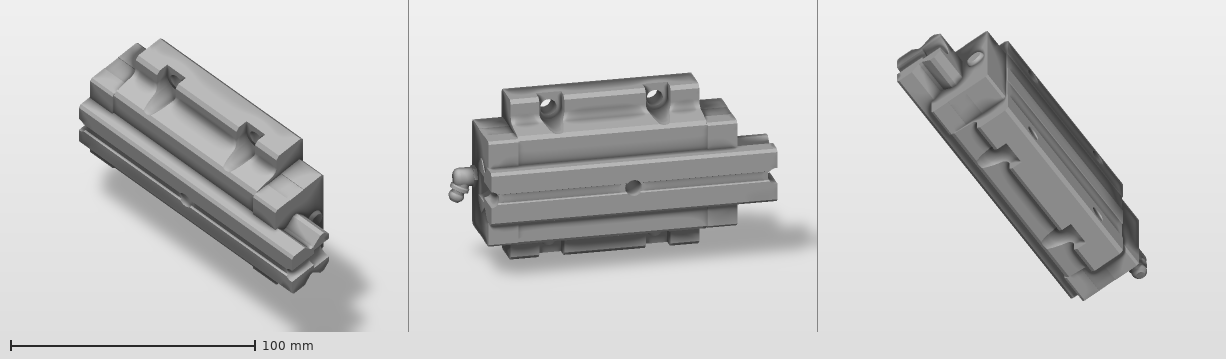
import cadquery as cq
import math


RAIL_LENGTH = 120.5
RAIL_WIDTH = 23.0
RAIL_HALF_WIDTH = RAIL_WIDTH / 2
RAIL_HEIGHT = 22.1
RAIL_BASE_CHAMFER = 1.2
RAIL_HEAD_CHAMFER = 3.2
WAIST_HALF_WIDTH = 7.8
WAIST_Y = 11.8
WAIST_FLAT = 1.6
BASE_SLOPE_RUN = 3.4
HEAD_SLOPE_RUN = 4.2
RELIEF_OUTER_HALF = 2.2
RELIEF_INNER_HALF = 1.8
RELIEF_DEPTH = 0.9
RAIL_BOLT_COUNT = 3
RAIL_BOLT_PITCH = 60.0
RAIL_BOLT_DIA = 7.0
RAIL_CBORE_DIA = 11.2
RAIL_CBORE_DEPTH = 9.0

MOUNT_Y = 36.0
BLOCK_LENGTH = 79.5
FLANGE_WIDTH = 70.0
FLANGE_HALF_WIDTH = FLANGE_WIDTH / 2
FLANGE_THICKNESS = 15.9
FLANGE_CHAMFER = 1.6
BLOCK_FRONT_Y = 7.1
BLOCK_CHAMFER = 1.6
BLOCK_FRONT_HALF_WIDTH = 22.1
FLANK_ROOT_HALF_WIDTH = 25.6
FLANK_FILLET = 3.2
MOUNT_RELIEF_DEPTH = 0.4
MOUNT_RELIEF_OUTER = 20.6
MOUNT_RELIEF_INNER = 6.3

BOLT_PITCH_X = 44.8
BOLT_PITCH_Z = 57.0
BOLT_DIA = 6.8
SPOT_FACE_DIA = 10.5
SPOT_FACE_Y = 26.1

CAP_GAP = 0.4
CAP_LENGTH = 12.6
CAP_HALF_WIDTH = 23.0
CAP_FRONT_Y = 6.3
CAP_BACK_Y = 34.8
CAP_CHAMFER = 1.0
CAP_SIDE_RECESS = 0.3
CAP_RECESS_FRONT_Y = 14.7
CAP_RECESS_BACK_Y = 23.0

BLOCK_X = CAP_GAP + CAP_LENGTH
BLOCK_END_X = BLOCK_X + BLOCK_LENGTH
CAP_END_X = BLOCK_END_X + CAP_LENGTH

PORT_Y = 29.0
HEX_ACROSS_FLATS = 8.0
HEX_LENGTH = 1.6
ELBOW_DIA = 7.9
ELBOW_LENGTH = 9.5
ELBOW_ROUND = 2.5
NOZZLE_TILT = 22.5
NOZZLE_REACH = 4.5
NOZZLE_SHANK_DIA = 6.8
NOZZLE_COLLAR_DIA = 8.0
NOZZLE_NECK_DIA = 5.5
NOZZLE_HEAD_DIA = 6.6
NOZZLE_HEAD_EDGE_DIA = 5.8
NOZZLE_TIP_DIA = 3.7
SHANK_END = 3.7
COLLAR_START = 4.2
COLLAR_END = 5.6
NECK_START = 6.0
HEAD_START = 7.2
HEAD_END = 9.7
TIP_END = 10.9
SCREW_HEAD_DIA = 8.0
SCREW_HEAD_LENGTH = 1.7
SCREW_HEAD_FACE_DIA = 6.6
SCREW_HEAD_BULGE = (3.8, 0.9)


def symmetric_prism(half_outline, x_start, length):
    """Extrude along X the outline made of (y, z) points with z > 0 and their mirror image in Z."""
    mirrored = [(y, -z) for y, z in reversed(half_outline)]
    outline = cq.Workplane("YZ", origin=(x_start, 0, 0)).polyline(half_outline + mirrored)
    return outline.close().extrude(length)


def rail_bar():
    waist_front = WAIST_Y - WAIST_FLAT / 2
    waist_back = WAIST_Y + WAIST_FLAT / 2
    half_outline = [
        (0, RAIL_HALF_WIDTH - RAIL_BASE_CHAMFER),
        (RAIL_BASE_CHAMFER, RAIL_HALF_WIDTH),
        (waist_front - BASE_SLOPE_RUN, RAIL_HALF_WIDTH),
        (waist_front, WAIST_HALF_WIDTH),
        (waist_back, WAIST_HALF_WIDTH),
        (waist_back + HEAD_SLOPE_RUN, RAIL_HALF_WIDTH),
        (RAIL_HEIGHT - RAIL_HEAD_CHAMFER, RAIL_HALF_WIDTH),
        (RAIL_HEIGHT, RAIL_HALF_WIDTH - RAIL_HEAD_CHAMFER),
    ]
    return symmetric_prism(half_outline, 0, RAIL_LENGTH)


def y_cylinder(x, z, diameter, y_start, y_end):
    start = cq.Workplane("XZ", origin=(x, y_start, z))
    return start.circle(diameter / 2).extrude(y_start - y_end)


def make_rail():
    rail = rail_bar()
    relief = [(0, RELIEF_OUTER_HALF), (RELIEF_DEPTH, RELIEF_INNER_HALF)]
    rail = rail.cut(symmetric_prism(relief, 0, RAIL_LENGTH))
    for index in range(RAIL_BOLT_COUNT):
        x = index * RAIL_BOLT_PITCH
        rail = rail.cut(y_cylinder(x, 0, RAIL_BOLT_DIA, 0, RAIL_HEIGHT))
        cbore_y = RAIL_HEIGHT - RAIL_CBORE_DEPTH
        rail = rail.cut(y_cylinder(x, 0, RAIL_CBORE_DIA, cbore_y, RAIL_HEIGHT))
    return rail


def flanged_block():
    flange_y = MOUNT_Y - FLANGE_THICKNESS
    half_outline = [
        (BLOCK_FRONT_Y, BLOCK_FRONT_HALF_WIDTH),
        (BLOCK_FRONT_Y + BLOCK_CHAMFER, BLOCK_FRONT_HALF_WIDTH + BLOCK_CHAMFER),
        (flange_y, FLANK_ROOT_HALF_WIDTH),
        (flange_y, FLANGE_HALF_WIDTH - FLANGE_CHAMFER),
        (flange_y + FLANGE_CHAMFER, FLANGE_HALF_WIDTH),
        (MOUNT_Y - FLANGE_CHAMFER, FLANGE_HALF_WIDTH),
        (MOUNT_Y, FLANGE_HALF_WIDTH - FLANGE_CHAMFER),
        (MOUNT_Y, MOUNT_RELIEF_OUTER),
        (MOUNT_Y - MOUNT_RELIEF_DEPTH, MOUNT_RELIEF_OUTER),
        (MOUNT_Y - MOUNT_RELIEF_DEPTH, MOUNT_RELIEF_INNER),
        (MOUNT_Y, MOUNT_RELIEF_INNER),
    ]
    block = symmetric_prism(half_outline, BLOCK_X, BLOCK_LENGTH)
    middle_x = BLOCK_X + BLOCK_LENGTH / 2
    for side in (-1, 1):
        root = cq.selectors.NearestToPointSelector((middle_x, flange_y, side * FLANK_ROOT_HALF_WIDTH))
        block = block.edges(root).fillet(FLANK_FILLET)
    return block


def flange_bolt_cutter(x, side):
    """Through hole with a spot face whose slot runs out through the flange's outer side."""
    z = side * BOLT_PITCH_Z / 2
    slot_length = FLANGE_HALF_WIDTH - BOLT_PITCH_Z / 2
    hole = y_cylinder(x, z, BOLT_DIA, 0, MOUNT_Y)
    round_end = y_cylinder(x, z, SPOT_FACE_DIA, 0, SPOT_FACE_Y)
    slot = (
        cq.Workplane("XY", origin=(x, SPOT_FACE_Y / 2, z + side * slot_length / 2))
        .box(SPOT_FACE_DIA, SPOT_FACE_Y, slot_length)
    )
    return hole.union(round_end).union(slot)


def end_cap(x_start):
    recess_half_width = CAP_HALF_WIDTH - CAP_SIDE_RECESS
    half_outline = [
        (CAP_FRONT_Y, CAP_HALF_WIDTH - CAP_CHAMFER),
        (CAP_FRONT_Y + CAP_CHAMFER, CAP_HALF_WIDTH),
        (CAP_RECESS_FRONT_Y, CAP_HALF_WIDTH),
        (CAP_RECESS_FRONT_Y, recess_half_width),
        (CAP_RECESS_BACK_Y, recess_half_width),
        (CAP_RECESS_BACK_Y, CAP_HALF_WIDTH),
        (CAP_BACK_Y - CAP_CHAMFER, CAP_HALF_WIDTH),
        (CAP_BACK_Y, CAP_HALF_WIDTH - CAP_CHAMFER),
    ]
    return symmetric_prism(half_outline, x_start, CAP_LENGTH)


def nozzle():
    head_middle = (HEAD_START + HEAD_END) / 2
    profile = (
        cq.Workplane("XY")
        .lineTo(NOZZLE_SHANK_DIA / 2, 0)
        .lineTo(NOZZLE_SHANK_DIA / 2, SHANK_END)
        .lineTo(NOZZLE_COLLAR_DIA / 2, COLLAR_START)
        .lineTo(NOZZLE_COLLAR_DIA / 2, COLLAR_END)
        .lineTo(NOZZLE_NECK_DIA / 2, NECK_START)
        .lineTo(NOZZLE_NECK_DIA / 2, HEAD_START)
        .lineTo(NOZZLE_HEAD_EDGE_DIA / 2, HEAD_START)
        .threePointArc((NOZZLE_HEAD_DIA / 2, head_middle), (NOZZLE_HEAD_EDGE_DIA / 2, HEAD_END))
        .lineTo(NOZZLE_TIP_DIA / 2, TIP_END)
        .lineTo(0, TIP_END)
        .close()
    )
    upright = profile.revolve(360, (0, 0, 0), (0, 1, 0))
    pointing_down = upright.rotate((0, 0, 0), (1, 0, 0), -90)
    tilted = pointing_down.rotate((0, 0, 0), (0, 1, 0), NOZZLE_TILT)
    return tilted.translate((-NOZZLE_REACH, PORT_Y, 0))


def grease_nipple():
    cap_face = cq.Workplane("YZ", origin=(CAP_GAP, PORT_Y, 0))
    hex_corner_dia = HEX_ACROSS_FLATS / math.cos(math.pi / 6)
    hex_base = cap_face.polygon(6, hex_corner_dia).extrude(-HEX_LENGTH)
    elbow = cap_face.circle(ELBOW_DIA / 2).extrude(-ELBOW_LENGTH)
    elbow = elbow.faces("<X").edges().fillet(ELBOW_ROUND)
    return hex_base.union(elbow).union(nozzle())


def screw_head():
    """Low head with a flat face and a rounded rim, turned about its own axis along X."""
    bulge_radius, bulge_height = SCREW_HEAD_BULGE
    profile = (
        cq.Workplane("XY")
        .lineTo(0, SCREW_HEAD_DIA / 2)
        .threePointArc((bulge_height, bulge_radius), (SCREW_HEAD_LENGTH, SCREW_HEAD_FACE_DIA / 2))
        .lineTo(SCREW_HEAD_LENGTH, 0)
        .close()
    )
    head = profile.revolve(360, (0, 0, 0), (1, 0, 0))
    return head.translate((CAP_END_X, PORT_Y, 0))


def make_carriage():
    block = flanged_block()
    middle_x = BLOCK_X + BLOCK_LENGTH / 2
    for x in (middle_x - BOLT_PITCH_X / 2, middle_x + BOLT_PITCH_X / 2):
        for side in (-1, 1):
            block = block.cut(flange_bolt_cutter(x, side))
    carriage = block.union(end_cap(CAP_GAP)).union(end_cap(BLOCK_END_X))
    carriage = carriage.cut(rail_bar())
    return carriage.union(grease_nipple()).union(screw_head())


rail = make_rail()
carriage = make_carriage()

result = cq.Compound.makeCompound([rail.val(), carriage.val()])